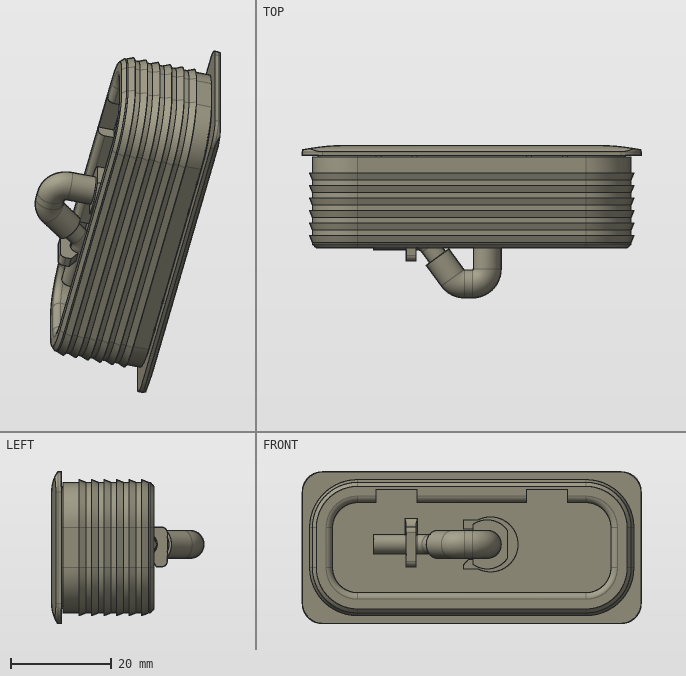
import cadquery as cq
import math


PLATE_LENGTH = 67.73
PLATE_HEIGHT = 30.33
PLATE_CORNER = 4.0
PLATE_THICKNESS = 2.0
PLATE_SLAB = 0.7
PLATE_DRAFT = 12.0
CROWN_DROP_X = 0.9
CROWN_DROP_Z = 1.25
CROWN_RUN_X = 9.0
CROWN_RUN_Z = 4.0

CORE_LENGTH = 45.6
CORE_HEIGHT = 8.0
NECK_RADIUS = 7.9
BODY_RADIUS = 9.05
BARB_RADIUS = 9.6
RECESS_RADIUS = 5.0
NECK_DEPTH = 0.3
PLUG_DEPTH = 18.5
PLUG_CHAMFER = 0.8

BARB_COUNT = 6
BARB_PITCH = 2.5
BARB_FIRST_DEPTH = 3.5
BARB_WIDTH = 1.4

NECK_RIB_WIDTH = 1.0
NECK_RIB_HEIGHT = 0.3

RECESS_DEPTH = 3.15
RIM_FILLET = 1.3
FLOOR_Y = RECESS_DEPTH - PLUG_DEPTH
NOTCH_X = 15.0
NOTCH_WIDTH = 8.2
NOTCH_TOP_Z = 11.6

TUBE_Z = 0.65
HOSE_X = 3.1
HOSE_RADIUS = 2.8
HOSE_REACH = 28.49
BEND_RADIUS = 3.0
HOSE_FLAT = 1.5
RETURN_ANGLE = 54.0
RETURN_LENGTH = 5.1
PIPE_RADIUS = 1.95
PIPE_AXIS_Y = -16.95
PIPE_END_X = -19.6

SOCKET_RING_X = 3.75
SOCKET_RING_RADIUS = 5.5
SOCKET_RING_HEIGHT = 0.25
SOCKET_RADIUS = 4.9
SOCKET_HEIGHT = 2.5
SOCKET_LEFT_X = 0.2
SOCKET_RIGHT_X = 7.15
SOCKET_TAB_SIZE = 1.85
SOCKET_TAB_CHAMFER = 1.0

CLIP_X = -12.1
CLIP_WIDTH = 2.0
CLIP_TOP_Z = 4.1
CLIP_BOTTOM_Z = -3.83
CLIP_ROOT_Z = 5.83
CLIP_FRONT_Y = -21.15
CLIP_ROUND = 1.1
CLIP_CLEARANCE = 0.25
CLIP_SHOULDER_Y = FLOOR_Y - 2.5
CLIP_HOLLOW_Y = FLOOR_Y - 0.95
CLIP_HOLLOW_Z = 4.7
CLIP_TIP_Y = -17.4
CLIP_FOOT_WIDTH = 2.5
CLIP_FOOT_HEIGHT = 0.7

OVERLAP = 0.2


def box(x_range, y_range, z_range):
    """Block between the given limits."""
    spans = [high - low for low, high in (x_range, y_range, z_range)]
    return cq.Workplane("XY").box(*spans, centered=False).translate((x_range[0], y_range[0], z_range[0]))


def plane_at(y, x=0.0, z=0.0):
    """Plane facing -Y, with local X along X and local Y along Z."""
    return cq.Workplane(cq.Plane((x, y, z), (1, 0, 0), (0, -1, 0)))


def section(radius, y, depth, taper=0.0):
    """Rounded rectangle with this corner radius, extruded from y toward -Y."""
    sketch = cq.Sketch().rect(CORE_LENGTH + 2 * radius, CORE_HEIGHT + 2 * radius).vertices().fillet(radius)
    return plane_at(y).placeSketch(sketch).extrude(depth, taper=taper)


def crown_prism(plane, half_width, run, drop, length):
    """Prism with a flat top that falls away along an arc at both sides."""
    edge_y = PLATE_THICKNESS - drop
    fall_radius = (run ** 2 + drop ** 2) / (2 * drop)
    half_angle = math.asin(run / fall_radius) / 2
    mid_offset = half_width - run + fall_radius * math.sin(half_angle)
    mid_y = PLATE_THICKNESS - fall_radius * (1 - math.cos(half_angle))
    return (
        cq.Workplane(plane)
        .moveTo(-half_width, 0)
        .lineTo(-half_width, edge_y)
        .threePointArc((-mid_offset, mid_y), (run - half_width, PLATE_THICKNESS))
        .lineTo(half_width - run, PLATE_THICKNESS)
        .threePointArc((mid_offset, mid_y), (half_width, edge_y))
        .lineTo(half_width, 0)
        .close()
        .extrude(length / 2, both=True)
    )


def make_plate():
    outline = cq.Sketch().rect(PLATE_LENGTH, PLATE_HEIGHT).vertices().fillet(PLATE_CORNER)
    upper_height = PLATE_THICKNESS - PLATE_SLAB
    plate = plane_at(PLATE_SLAB).placeSketch(outline).extrude(PLATE_SLAB)
    plate = plate.union(
        plane_at(PLATE_SLAB).placeSketch(outline).extrude(-upper_height, taper=PLATE_DRAFT)
    )
    along_x = cq.Plane((0, 0, 0), (1, 0, 0), (0, 0, 1))
    along_z = cq.Plane((0, 0, 0), (0, 0, 1), (-1, 0, 0))
    plate = plate.intersect(crown_prism(along_x, PLATE_LENGTH / 2, CROWN_RUN_X, CROWN_DROP_X, PLATE_HEIGHT))
    return plate.intersect(crown_prism(along_z, PLATE_HEIGHT / 2, CROWN_RUN_Z, CROWN_DROP_Z, PLATE_LENGTH))


def make_plug():
    plug = section(BODY_RADIUS, -NECK_DEPTH, PLUG_DEPTH - NECK_DEPTH).faces("<Y").chamfer(PLUG_CHAMFER)
    barb_taper = math.degrees(math.atan((BARB_RADIUS - BODY_RADIUS) / BARB_WIDTH))
    for index in range(BARB_COUNT):
        barb_y = -BARB_FIRST_DEPTH - index * BARB_PITCH
        plug = plug.union(section(BARB_RADIUS, barb_y, BARB_WIDTH, barb_taper))
    recess = section(RECESS_RADIUS, FLOOR_Y, RECESS_DEPTH)
    plug = plug.cut(recess)
    half_length = CORE_LENGTH / 2 + RECESS_RADIUS + OVERLAP
    half_height = CORE_HEIGHT / 2 + RECESS_RADIUS + OVERLAP
    rim = cq.selectors.BoxSelector(
        (-half_length, -PLUG_DEPTH - OVERLAP, -half_height),
        (half_length, -PLUG_DEPTH + OVERLAP, half_height),
    )
    plug = plug.edges(rim).fillet(RIM_FILLET)
    for side in (-1, 1):
        center = side * NOTCH_X
        x_range = (center - NOTCH_WIDTH / 2, center + NOTCH_WIDTH / 2)
        plug = plug.cut(box(x_range, (-PLUG_DEPTH, FLOOR_Y), (0, NOTCH_TOP_Z)))
    return plug


def make_neck():
    neck = section(NECK_RADIUS, OVERLAP, NECK_DEPTH + 2 * OVERLAP)
    rib_half_height = CORE_HEIGHT / 2 + NECK_RADIUS + NECK_RIB_HEIGHT
    for notch_side in (-1, 1):
        for edge_side in (-1, 1):
            rib_x = notch_side * NOTCH_X + edge_side * (NOTCH_WIDTH - NECK_RIB_WIDTH) / 2
            x_range = (rib_x - NECK_RIB_WIDTH / 2, rib_x + NECK_RIB_WIDTH / 2)
            neck = neck.union(box(x_range, (-NECK_DEPTH, 0), (-rib_half_height, rib_half_height)))
    return neck


def make_socket():
    z_top = TUBE_Z + SOCKET_RADIUS
    z_bottom = TUBE_Z - SOCKET_RADIUS
    base_y = FLOOR_Y + OVERLAP
    ring_y = FLOOR_Y - SOCKET_RING_HEIGHT
    ring = plane_at(base_y, SOCKET_RING_X, TUBE_Z).circle(SOCKET_RING_RADIUS).extrude(base_y - ring_y)
    ring = ring.intersect(
        box((SOCKET_LEFT_X, SOCKET_RING_X + SOCKET_RING_RADIUS), (ring_y, base_y),
            (TUBE_Z - SOCKET_RING_RADIUS, TUBE_Z + SOCKET_RING_RADIUS))
    )
    boss = plane_at(base_y, HOSE_X, TUBE_Z).circle(SOCKET_RADIUS).extrude(SOCKET_HEIGHT + OVERLAP)
    boss = boss.intersect(
        box((SOCKET_LEFT_X, SOCKET_RIGHT_X), (FLOOR_Y - SOCKET_HEIGHT, base_y), (z_bottom, z_top))
    )
    tab_x = (SOCKET_LEFT_X - SOCKET_TAB_SIZE, SOCKET_LEFT_X + SOCKET_TAB_SIZE)
    upper_tab = box(tab_x, (ring_y, base_y), (z_top - SOCKET_TAB_SIZE, z_top))
    lower_tab = box(tab_x, (ring_y, base_y), (z_bottom, z_bottom + SOCKET_TAB_SIZE))
    lower_tab = lower_tab.edges("|Y and <X and >Z").chamfer(SOCKET_TAB_CHAMFER)
    return ring.union(boss).union(upper_tab).union(lower_tab)


def make_tube():
    """Hose out of the socket, two bends back toward the plug, then the thin pipe along -X."""
    angle = math.radians(RETURN_ANGLE)
    heading = (-math.cos(angle), math.sin(angle))
    bottom_y = HOSE_RADIUS - HOSE_REACH
    bend_y = bottom_y + BEND_RADIUS
    first_center_x = HOSE_X - BEND_RADIUS
    second_center_x = first_center_x - HOSE_FLAT
    diagonal = BEND_RADIUS * math.sqrt(0.5)

    def on_second_bend(turn):
        return (second_center_x - BEND_RADIUS * math.sin(turn), bend_y - BEND_RADIUS * math.cos(turn))

    bend_end = on_second_bend(angle)
    hose_end = (bend_end[0] + RETURN_LENGTH * heading[0], bend_end[1] + RETURN_LENGTH * heading[1])
    axis_plane = cq.Workplane("XY", origin=(0, 0, TUBE_Z))
    hose_path = (
        axis_plane.moveTo(HOSE_X, FLOOR_Y)
        .lineTo(HOSE_X, bend_y)
        .threePointArc((first_center_x + diagonal, bend_y - diagonal), (first_center_x, bottom_y))
        .lineTo(second_center_x, bottom_y)
        .threePointArc(on_second_bend(angle / 2), bend_end)
        .lineTo(*hose_end)
    )
    hose = plane_at(FLOOR_Y, HOSE_X, TUBE_Z).circle(HOSE_RADIUS).sweep(hose_path)

    corner_x = hose_end[0] + heading[0] * (PIPE_AXIS_Y - hose_end[1]) / heading[1]
    tangent = BEND_RADIUS * math.tan(angle / 2)
    arc_start = (corner_x - tangent * heading[0], PIPE_AXIS_Y - tangent * heading[1])
    arc_end_x = corner_x - tangent
    arc_middle = (
        arc_end_x + BEND_RADIUS * math.sin(angle / 2),
        PIPE_AXIS_Y - BEND_RADIUS * (1 - math.cos(angle / 2)),
    )
    pipe_path = (
        axis_plane.moveTo(PIPE_END_X, PIPE_AXIS_Y)
        .lineTo(arc_end_x, PIPE_AXIS_Y)
        .threePointArc(arc_middle, arc_start)
        .lineTo(*bend_end)
    )
    pipe = cq.Workplane("YZ", origin=(PIPE_END_X, PIPE_AXIS_Y, TUBE_Z)).circle(PIPE_RADIUS).sweep(pipe_path)
    return hose.union(pipe)


def make_clip():
    """Hook rooted above the pipe, flared at the root, that curls around the pipe's outer side."""
    base_y = FLOOR_Y + OVERLAP
    side_plane = cq.Workplane("YZ", origin=(CLIP_X, 0, 0))
    tip_bottom_y = CLIP_FRONT_Y + 2 * CLIP_ROUND
    hook = (
        side_plane.moveTo(base_y, CLIP_ROOT_Z)
        .lineTo(FLOOR_Y, CLIP_ROOT_Z)
        .threePointArc((CLIP_HOLLOW_Y, CLIP_HOLLOW_Z), (CLIP_SHOULDER_Y, CLIP_TOP_Z))
        .lineTo(CLIP_FRONT_Y + CLIP_ROUND, CLIP_TOP_Z)
        .radiusArc((CLIP_FRONT_Y, CLIP_TOP_Z - CLIP_ROUND), -CLIP_ROUND)
        .lineTo(CLIP_FRONT_Y, CLIP_BOTTOM_Z + CLIP_ROUND)
        .radiusArc((CLIP_FRONT_Y + CLIP_ROUND, CLIP_BOTTOM_Z), -CLIP_ROUND)
        .lineTo(tip_bottom_y, CLIP_BOTTOM_Z)
        .lineTo(CLIP_TIP_Y, TUBE_Z - PIPE_RADIUS)
        .lineTo(CLIP_TIP_Y, TUBE_Z)
        .lineTo(base_y, TUBE_Z)
        .close()
        .extrude(CLIP_FOOT_WIDTH / 2, both=True)
    )
    flare_y = FLOOR_Y - CLIP_FOOT_HEIGHT
    flare = (
        cq.Workplane("XY", origin=(CLIP_X, 0, CLIP_BOTTOM_Z))
        .moveTo(-CLIP_FOOT_WIDTH / 2, base_y)
        .lineTo(-CLIP_FOOT_WIDTH / 2, FLOOR_Y)
        .lineTo(-CLIP_WIDTH / 2, flare_y)
        .lineTo(-CLIP_WIDTH / 2, CLIP_FRONT_Y)
        .lineTo(CLIP_WIDTH / 2, CLIP_FRONT_Y)
        .lineTo(CLIP_WIDTH / 2, flare_y)
        .lineTo(CLIP_FOOT_WIDTH / 2, FLOOR_Y)
        .lineTo(CLIP_FOOT_WIDTH / 2, base_y)
        .close()
        .extrude(CLIP_ROOT_Z - CLIP_BOTTOM_Z)
    )
    seat = (
        side_plane.center(PIPE_AXIS_Y, TUBE_Z)
        .circle(PIPE_RADIUS + CLIP_CLEARANCE)
        .extrude(CLIP_FOOT_WIDTH / 2, both=True)
    )
    return hook.intersect(flare).cut(seat)


result = (
    make_plate()
    .union(make_neck())
    .union(make_plug())
    .union(make_socket())
    .union(make_tube())
    .union(make_clip())
)